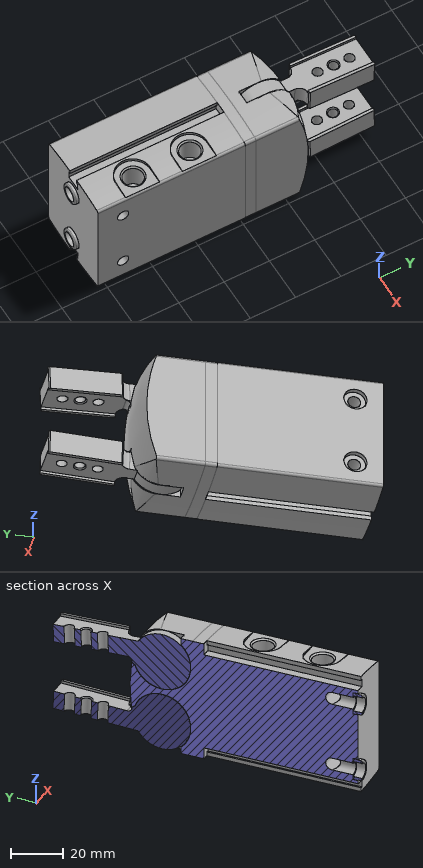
import cadquery as cq
import math

UP, DOWN = 1, -1

LENGTH = 130.6
WIDTH = 38.0
HEIGHT = 50.9
TOP_Z = HEIGHT / 2

CROWN_RADIUS = 130.6
BODY_EDGE_RADIUS = 1.0
NOSE_EDGE_RADIUS = 1.3
BODY_END_Y = 65.0
COLLAR_END_Y = 69.7
NOSE_TIP_Y = 96.4
NOSE_ARC_IN_PLAN = 52.2
NOSE_ARC_IN_ELEVATION = 78.3
NOSE_ROUND_RADIUS = 11.0
SLOT_BACK_Y = 74.8

GROOVE_NECK_WIDTH = 5.2
GROOVE_NECK_DEPTH = 1.8
GROOVE_FOOT_WIDTH = 6.8
GROOVE_DEPTH = 4.8

PORT_X = 11.0
PORT_YS = (20.1, 45.2)
PORT_DIAMETER = 8.6
PORT_MOUTH_DIAMETER = 9.9
PORT_DEPTH = 10.5
PORT_FLAT_RADIUS = 7.51
PORT_FLAT_DEPTH = 1.3

MOUNT_Z = 14.5
MOUNT_HOLE_Y = 11.1
MOUNT_HOLE_DIAMETER = 5.0
SLEEVE_DIAMETER = 9.0
SLEEVE_BORE = 6.4
SLEEVE_PROTRUSION = 1.7
SLEEVE_EDGE_RADIUS = 0.5
RECESS_DEPTH = 2.1

HEAD_RADIUS = 12.0
HEAD_Y = 82.8
HEAD_Z = 13.3
FINGER_TILT = 2.0
FINGER_OFFSET = 3.0
NECK_WIDTH = 6.1
NECK_THICKNESS = 7.8
JAW_WIDTH = 16.0
JAW_THICKNESS = 10.0
JAW_START = 16.6
JAW_CHAMFER = 0.5
RAIL_WIDTH = 1.3
SCALLOP_RADIUS = 3.5
HEEL_RADIUS = 2.0
HEEL_FRONT = 12.7
JAW_HOLE_CENTRE = 31.9
JAW_HOLE_PITCH = 7.0
JAW_PIN_HOLE = 4.2
JAW_SCREW_HOLE = 4.0
JAW_COUNTERSINK = 5.0

ROUND_Z = TOP_Z - NOSE_ROUND_RADIUS
NOSE_ARC_CENTRE_Y = NOSE_TIP_Y - NOSE_ARC_IN_ELEVATION
ROUND_Y = NOSE_ARC_CENTRE_Y + math.sqrt((NOSE_ARC_IN_ELEVATION - NOSE_ROUND_RADIUS) ** 2 - ROUND_Z**2)

TILT = math.radians(FINGER_TILT)
TIP_Y = LENGTH - SLEEVE_PROTRUSION
JAW_OUTER = FINGER_OFFSET + JAW_THICKNESS / 2
FINGER_REACH = (TIP_Y - HEAD_Y - JAW_OUTER * math.sin(TILT)) / math.cos(TILT)


def box(x_range, y_range, z_range):
    size = [high - low for low, high in (x_range, y_range, z_range)]
    corner = (x_range[0], y_range[0], z_range[0])
    return cq.Workplane("XY").box(*size, centered=False).translate(corner)


def centred(width, middle=0.0):
    return (middle - width / 2, middle + width / 2)


def mirrored(shape, side):
    return shape if side == UP else shape.mirror("XY")


def cylinder(diameter, length, start, direction):
    return cq.Workplane(cq.Solid.makeCylinder(diameter / 2, length, cq.Vector(*start), cq.Vector(*direction)))


def countersink(mouth, bore, start, direction):
    """Cone at 45 degrees from the mouth diameter down to the bore diameter."""
    depth = (mouth - bore) / 2
    cone = cq.Solid.makeCone(mouth / 2, bore / 2, depth, cq.Vector(*start), cq.Vector(*direction))
    return cq.Workplane(cone)


def crowned_bar(start_y, end_y, edge_radius):
    """Bar with flat sides, crowned top and bottom, and rounded long edges."""
    half = WIDTH / 2
    edge_z = TOP_Z - (CROWN_RADIUS - math.sqrt(CROWN_RADIUS**2 - half**2))
    return (
        cq.Workplane("XZ", origin=(0, start_y, 0))
        .moveTo(-half, -edge_z)
        .lineTo(-half, edge_z)
        .threePointArc((0, TOP_Z), (half, edge_z))
        .lineTo(half, -edge_z)
        .threePointArc((0, -TOP_Z), (-half, -edge_z))
        .close()
        .extrude(start_y - end_y)
        .edges("|Y")
        .fillet(edge_radius)
    )


def t_groove():
    """Groove in the top of the body, over its full length."""
    body_range = (0, BODY_END_Y)
    neck = box(centred(GROOVE_NECK_WIDTH), body_range, (TOP_Z - GROOVE_DEPTH, TOP_Z))
    foot_range = (TOP_Z - GROOVE_DEPTH, TOP_Z - GROOVE_NECK_DEPTH)
    return neck.union(box(centred(GROOVE_FOOT_WIDTH), body_range, foot_range))


def air_port(y):
    """Flat with a round inner end, and a chamfered blind hole in it."""
    floor_z = TOP_Z - PORT_FLAT_DEPTH
    flat = cylinder(2 * PORT_FLAT_RADIUS, PORT_FLAT_DEPTH, (PORT_X, y, floor_z), (0, 0, 1))
    flat = flat.union(box((PORT_X, WIDTH / 2), centred(2 * PORT_FLAT_RADIUS, y), (floor_z, TOP_Z)))
    hole = cylinder(PORT_DIAMETER, PORT_DEPTH, (PORT_X, y, floor_z), (0, 0, -1))
    mouth = countersink(PORT_MOUTH_DIAMETER, PORT_DIAMETER, (PORT_X, y, floor_z), (0, 0, -1))
    return flat.union(hole).union(mouth)


def mounting_holes(z):
    """Recessed cross hole through the sides, met by a recessed hole from the rear face."""
    side = (-WIDTH / 2, MOUNT_HOLE_Y, z)
    rear = (0, 0, z)
    holes = cylinder(MOUNT_HOLE_DIAMETER, WIDTH, side, (1, 0, 0))
    holes = holes.union(cylinder(SLEEVE_DIAMETER, RECESS_DEPTH, side, (1, 0, 0)))
    holes = holes.union(cylinder(MOUNT_HOLE_DIAMETER, MOUNT_HOLE_Y, rear, (0, 1, 0)))
    return holes.union(cylinder(SLEEVE_DIAMETER, RECESS_DEPTH, rear, (0, 1, 0)))


def make_body():
    body = crowned_bar(0, BODY_END_Y, BODY_EDGE_RADIUS)
    for side in (UP, DOWN):
        body = body.cut(mirrored(t_groove(), side))
        body = body.cut(mounting_holes(side * MOUNT_Z))
    for y in PORT_YS:
        body = body.cut(air_port(y))
    return body


def nose_front():
    """Turned solid whose rim is the double-curved front of the nose."""
    axis_y = NOSE_TIP_Y - NOSE_ARC_IN_PLAN
    half = WIDTH
    rim = NOSE_ARC_IN_PLAN - NOSE_ARC_IN_ELEVATION + math.sqrt(NOSE_ARC_IN_ELEVATION**2 - half**2)
    return (
        cq.Workplane("XZ")
        .moveTo(0, -half)
        .lineTo(rim, -half)
        .threePointArc((NOSE_ARC_IN_PLAN, 0), (rim, half))
        .lineTo(0, half)
        .close()
        .revolve(360, (0, 0), (0, 1))
        .translate((0, axis_y, 0))
    )


def nose_corner():
    """Material outside the round between the crown and the nose front."""
    tangent = math.atan2(ROUND_Z, ROUND_Y - NOSE_ARC_CENTRE_Y)
    reach = 2 * NOSE_ROUND_RADIUS
    wedge = (
        cq.Workplane("YZ", origin=(-WIDTH / 2, 0, 0))
        .moveTo(ROUND_Y, ROUND_Z)
        .lineTo(ROUND_Y + reach, ROUND_Z + reach * math.tan(tangent))
        .lineTo(ROUND_Y + reach, ROUND_Z + reach)
        .lineTo(ROUND_Y, ROUND_Z + reach)
        .close()
        .extrude(WIDTH)
    )
    return wedge.cut(cylinder(2 * NOSE_ROUND_RADIUS, WIDTH, (-WIDTH / 2, ROUND_Y, ROUND_Z), (1, 0, 0)))


def make_nose(finger):
    nose = crowned_bar(COLLAR_END_Y, LENGTH, NOSE_EDGE_RADIUS).intersect(nose_front())
    slot = box(centred(NECK_WIDTH), (SLOT_BACK_Y, NOSE_TIP_Y), (HEAD_Z, TOP_Z))
    for side in (UP, DOWN):
        nose = nose.cut(mirrored(slot, side)).cut(mirrored(finger, side))
        nose = nose.cut(mirrored(nose_corner(), side))
    return nose


def make_housing(finger):
    """Body, collar and nose in one solid; the joints between them stay as lines."""
    collar = crowned_bar(BODY_END_Y, COLLAR_END_Y, NOSE_EDGE_RADIUS)
    return make_body().union(collar, clean=False).union(make_nose(finger), clean=False)


def finger_root():
    """Round head, and a neck whose underside runs down into a heel."""
    neck_top = FINGER_OFFSET + NECK_THICKNESS / 2
    neck_bottom = neck_top - NECK_THICKNESS
    bend = HEEL_RADIUS * (1 - math.sqrt(0.5))
    neck = (
        cq.Workplane("YZ", origin=(-NECK_WIDTH / 2, 0, 0))
        .moveTo(0, neck_top)
        .lineTo(JAW_START, neck_top)
        .lineTo(JAW_START, neck_bottom)
        .lineTo(HEEL_FRONT + HEEL_RADIUS, neck_bottom)
        .threePointArc(
            (HEEL_FRONT + bend, neck_bottom - bend),
            (HEEL_FRONT, neck_bottom - HEEL_RADIUS),
        )
        .lineTo(0, -HEAD_RADIUS)
        .close()
        .extrude(NECK_WIDTH)
    )
    return neck.union(cylinder(2 * HEAD_RADIUS, NECK_WIDTH, (-NECK_WIDTH / 2, 0, 0), (1, 0, 0)))


def finger_jaw():
    """Flat plate between two side rails that stand proud of both faces."""
    jaw_range = (JAW_START, FINGER_REACH)
    jaw = box(centred(JAW_WIDTH), jaw_range, centred(JAW_THICKNESS, FINGER_OFFSET))
    jaw = jaw.edges("|Z").chamfer(JAW_CHAMFER)
    rail_height = (JAW_THICKNESS - NECK_THICKNESS) / 2
    for side in (UP, DOWN):
        face = FINGER_OFFSET + side * (NECK_THICKNESS + rail_height) / 2
        jaw = jaw.cut(box(centred(JAW_WIDTH - 2 * RAIL_WIDTH), jaw_range, centred(rail_height, face)))
    return jaw


def neck_shoulders():
    """Concave rounds between the sides of the neck and the rear of the jaw."""
    start = JAW_START - SCALLOP_RADIUS
    middle = centred(NECK_THICKNESS, FINGER_OFFSET)
    shoulders = box(centred(NECK_WIDTH + 2 * SCALLOP_RADIUS), (start, JAW_START), middle)
    for x in (-NECK_WIDTH / 2 - SCALLOP_RADIUS, NECK_WIDTH / 2 + SCALLOP_RADIUS):
        round_cut = cylinder(2 * SCALLOP_RADIUS, NECK_THICKNESS, (x, start, middle[0]), (0, 0, 1))
        shoulders = shoulders.cut(round_cut)
    return shoulders


def jaw_holes():
    """Screw hole, countersunk on both faces, between two pin holes."""
    bottom, top = centred(NECK_THICKNESS, FINGER_OFFSET)
    holes = cylinder(JAW_SCREW_HOLE, NECK_THICKNESS, (0, JAW_HOLE_CENTRE, bottom), (0, 0, 1))
    for z, inward in ((bottom, 1), (top, -1)):
        start = (0, JAW_HOLE_CENTRE, z)
        holes = holes.union(countersink(JAW_COUNTERSINK, JAW_SCREW_HOLE, start, (0, 0, inward)))
    for y in (JAW_HOLE_CENTRE - JAW_HOLE_PITCH, JAW_HOLE_CENTRE + JAW_HOLE_PITCH):
        holes = holes.union(cylinder(JAW_PIN_HOLE, NECK_THICKNESS, (0, y, bottom), (0, 0, 1)))
    return holes


def make_finger():
    """Upper finger, tilted about its head centre so that the tip leans inward."""
    finger = finger_root().union(neck_shoulders()).union(finger_jaw()).cut(jaw_holes())
    return finger.rotate((0, 0, 0), (1, 0, 0), -FINGER_TILT).translate((0, HEAD_Y, HEAD_Z))


def make_sleeve(z):
    length = RECESS_DEPTH + SLEEVE_PROTRUSION
    start = (0, -SLEEVE_PROTRUSION, z)
    sleeve = cylinder(SLEEVE_DIAMETER, length, start, (0, 1, 0)).faces("<Y").edges().fillet(SLEEVE_EDGE_RADIUS)
    return sleeve.cut(cylinder(SLEEVE_BORE, length, start, (0, 1, 0)))


upper_finger = make_finger()
housing = make_housing(upper_finger)
fingers = [mirrored(upper_finger, side) for side in (UP, DOWN)]
sleeves = [make_sleeve(side * MOUNT_Z) for side in (UP, DOWN)]

bodies = [housing, *fingers, *sleeves]
result = cq.Compound.makeCompound([body.solids().val() for body in bodies])